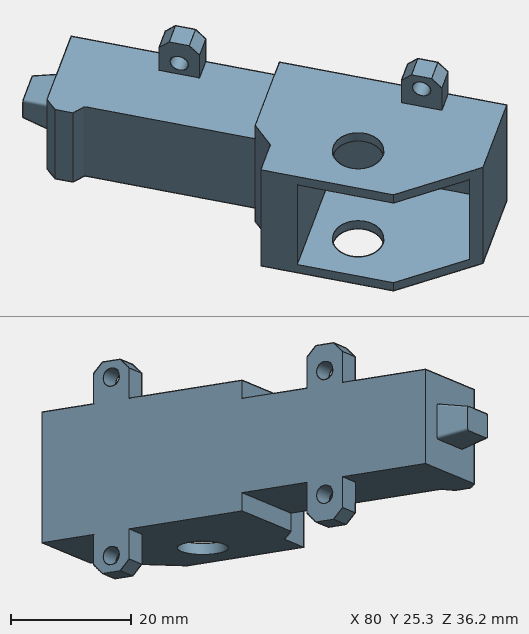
import cadquery as cq

length = 80.0
depth = 25.3

body_start = 5.4
body_depth = 15.4
body_height = 16.2
lip_end = 11.8
lip_rise = 1.9
lip_back_run = 1.5
lip_foot_radius = 0.5

housing_start = 41.0
housing_height = 22.4
step_run = 3.6
step_depth = 19.2
bevel_start = 67.4
bevel_depth = 15.2

wall = 1.9
window_start = 50.9
window_end = length - wall
window_floor = 1.9
cross_hole_x = 59.0
cross_hole_depth = 16.8
cross_hole_diameter = 8.5

nose_depth = 7.8
nose_root_width = 8.2
nose_root_height = 6.1
nose_taper_angle = 10.0
nose_edge_radius = 0.5

lug_width = 7.0
lug_thickness = 4.0
lug_chamfer = 1.8
lug_hole_diameter = 3.1
front_lug_x = 25.0
front_lug_span = 30.2
front_lug_hole_spacing = 21.2
rear_lug_x = 66.5
rear_lug_span = 36.2
rear_lug_hole_spacing = 30.6


def extruded_profile(points, height):
    """Side outline in XY, extruded equally to both sides of Z = 0."""
    return cq.Workplane("XY").polyline(points).close().extrude(height / 2, both=True)


def make_body():
    body = extruded_profile(
        [
            (body_start, 0),
            (body_start, -body_depth),
            (body_start + lip_rise, -body_depth - lip_rise),
            (lip_end - lip_back_run, -body_depth - lip_rise),
            (lip_end, -body_depth),
            (housing_start, -body_depth),
            (housing_start, 0),
        ],
        body_height,
    )
    lip_foot = cq.NearestToPointSelector((lip_end, -body_depth, 0))
    return body.edges("|Z").edges(lip_foot).fillet(lip_foot_radius)


def make_housing():
    return extruded_profile(
        [
            (housing_start, 0),
            (housing_start, -body_depth),
            (housing_start + step_run, -step_depth),
            (housing_start + step_run, -depth),
            (bevel_start, -depth),
            (length, -bevel_depth),
            (length, 0),
        ],
        housing_height,
    )


def make_nose():
    root = cq.Workplane("YZ", origin=(body_start, -nose_depth, 0))
    nose = root.rect(nose_root_width, nose_root_height).extrude(-body_start, taper=nose_taper_angle)
    slanted_edges = nose.edges("not(#X)")
    return slanted_edges.fillet(nose_edge_radius)


def make_lugs(x, span, hole_spacing):
    """Bar across the back whose drilled, chamfered ends form a pair of lugs."""
    bar = cq.Workplane("XY").box(lug_width, lug_thickness, span)
    bar = bar.edges("|Y").chamfer(lug_chamfer)
    holes = (
        cq.Workplane("XZ")
        .pushPoints([(0, hole_spacing / 2), (0, -hole_spacing / 2)])
        .circle(lug_hole_diameter / 2)
        .extrude(lug_thickness, both=True)
    )
    return bar.cut(holes).translate((x, -lug_thickness / 2, 0))


def make_window():
    return extruded_profile(
        [
            (window_start, -window_floor),
            (window_start, -depth),
            (window_end, -depth),
            (window_end, -window_floor),
        ],
        housing_height - 2 * wall,
    )


def make_cross_hole():
    return (
        cq.Workplane("XY")
        .center(cross_hole_x, -cross_hole_depth)
        .circle(cross_hole_diameter / 2)
        .extrude(housing_height, both=True)
    )


result = (
    make_body()
    .union(make_housing())
    .union(make_nose())
    .union(make_lugs(front_lug_x, front_lug_span, front_lug_hole_spacing))
    .union(make_lugs(rear_lug_x, rear_lug_span, rear_lug_hole_spacing))
    .cut(make_window())
    .cut(make_cross_hole())
)